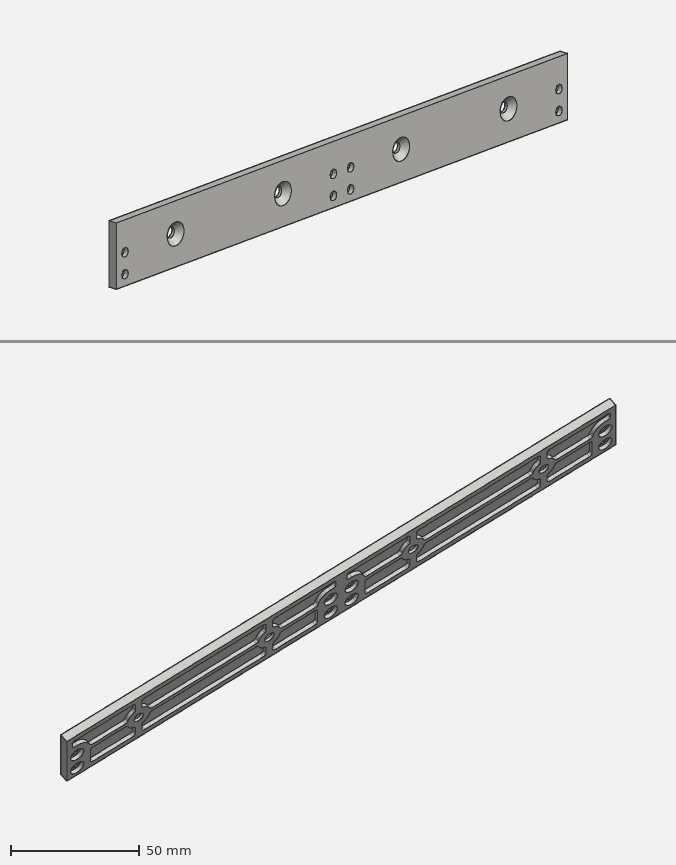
import cadquery as cq

thickness = 4.0
length = 266.0
height = 27.5

section_middles = (-length / 4, length / 4)

main_hole_radius = 2.25
countersink_depth = 2.7
countersink_radius = main_hole_radius + countersink_depth
main_hole_offset = 31.7

screw_hole_radius = 1.9
screw_head_radius = 3.2
screw_head_depth = 1.9
screw_hole_offset = 61.5
upper_screw_z = 0.3
lower_screw_z = -8.8

pocket_depth = 1.9
pocket_corner_radius = 1.3
pocket_half_height = 11.0
upper_pocket_half_length = 63.8
lower_pocket_half_length = 55.0
rib_half_width_across = 1.5
rib_half_width_along = 1.0
main_pad_radius = 5.5
screw_pad_radius = 6.5

front_x = -thickness / 2
back_x = thickness / 2


def block(depth, y_min, y_max, z_min, z_max):
    """Box reaching from the front face to the given depth."""
    return cq.Workplane("XY").box(depth, y_max - y_min, z_max - z_min, centered=False).translate(
        (front_x, y_min, z_min)
    )


def disc(radius, depth, y, z):
    """Round bar along X reaching from the front face to the given depth."""
    return cq.Workplane("YZ", origin=(front_x, y, z)).circle(radius).extrude(depth)


def countersink(y, z):
    """Cone along X, widest at the back face and narrowing to the main hole."""
    bore_circle = cq.Workplane("YZ", origin=(back_x - countersink_depth, y, z)).circle(main_hole_radius)
    return bore_circle.workplane(offset=countersink_depth).circle(countersink_radius).loft()


def section_pockets(middle):
    """All pockets of one section: two long fields with ribs and hole pads left standing."""
    pockets = block(
        pocket_depth,
        middle - upper_pocket_half_length,
        middle + upper_pocket_half_length,
        rib_half_width_along,
        pocket_half_height,
    )
    pockets = pockets.union(
        block(
            pocket_depth,
            middle - lower_pocket_half_length,
            middle + lower_pocket_half_length,
            -pocket_half_height,
            -rib_half_width_along,
        )
    )
    for side in (-1, 1):
        hole_y = middle + side * main_hole_offset
        pockets = pockets.cut(
            block(
                pocket_depth,
                hole_y - rib_half_width_across,
                hole_y + rib_half_width_across,
                -pocket_half_height,
                pocket_half_height,
            )
        )
        pockets = pockets.cut(disc(main_pad_radius, pocket_depth, hole_y, 0))

        screw_y = middle + side * screw_hole_offset
        end_y = middle + side * length / 4
        pad_top = upper_screw_z + screw_pad_radius
        pockets = pockets.cut(disc(screw_pad_radius, pocket_depth, screw_y, upper_screw_z))
        pockets = pockets.cut(block(pocket_depth, min(screw_y, end_y), max(screw_y, end_y), 0, pad_top))
    return pockets.edges("|X").fillet(pocket_corner_radius)


def section_holes(middle):
    """All through holes, counterbores and countersinks of one section."""
    holes = cq.Workplane("YZ")
    for side in (-1, 1):
        hole_y = middle + side * main_hole_offset
        holes = holes.union(disc(main_hole_radius, thickness, hole_y, 0))
        holes = holes.union(countersink(hole_y, 0))
        screw_y = middle + side * screw_hole_offset
        for screw_z in (upper_screw_z, lower_screw_z):
            holes = holes.union(disc(screw_hole_radius, thickness, screw_y, screw_z))
            holes = holes.union(disc(screw_head_radius, screw_head_depth, screw_y, screw_z))
    return holes


result = cq.Workplane("XY").box(thickness, length, height)
for section_middle in section_middles:
    result = result.cut(section_pockets(section_middle))
    result = result.cut(section_holes(section_middle))